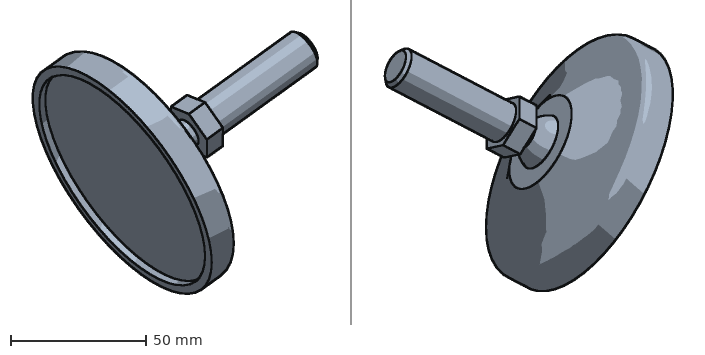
import cadquery as cq
import math


plate_radius = 50.0
rim_height = 9.5
rim_round = 3.2
plate_top = 23.6
plate_top_radius = 19.1
rim_angle = math.radians(81)

recess_radius = 92.5 / 2
recess_depth = 3.0

neck_radius = 11.0 / 2
neck_start = 30.0
ball_radius = 11.4
ball_center = neck_start - math.sqrt(ball_radius**2 - neck_radius**2)

hex_start = 33.0
hex_height = 8.0
hex_across_flats = 20.0
hex_across_corners = hex_across_flats / math.cos(math.pi / 6)
stud_radius = 16.0 / 2
stud_start = hex_start + hex_height
stud_end = 91.0
stud_chamfer = 1.5


def make_cylinder(radius, start, end):
    """Cylinder along +Y between two heights."""
    return cq.Workplane("XZ", origin=(0, start, 0)).circle(radius).extrude(start - end)


def make_plate():
    """Revolved plate with a rounded rim, a tangent concave flare and a recessed sole."""
    def rim_point(angle):
        return (
            plate_radius - rim_round * (1 - math.cos(angle)),
            rim_height + rim_round * math.sin(angle),
        )

    flare_start = rim_point(rim_angle)
    flare_end = (plate_top_radius, plate_top)
    return (
        cq.Workplane("XY")
        .moveTo(0, recess_depth)
        .lineTo(recess_radius, recess_depth)
        .lineTo(recess_radius, 0)
        .lineTo(plate_radius, 0)
        .lineTo(plate_radius, rim_height)
        .threePointArc(rim_point(rim_angle / 2), flare_start)
        .tangentArcPoint(flare_end, relative=False)
        .lineTo(0, plate_top)
        .close()
        .revolve(360, (0, 0, 0), (0, 1, 0))
    )


def make_ball():
    """Ball cap rising from inside the plate to the neck."""
    seat = ball_center
    middle_angle = math.acos(neck_radius / ball_radius) / 2
    return (
        cq.Workplane("XY")
        .moveTo(0, seat)
        .lineTo(ball_radius, seat)
        .threePointArc(
            (ball_radius * math.cos(middle_angle), seat + ball_radius * math.sin(middle_angle)),
            (neck_radius, neck_start),
        )
        .lineTo(0, neck_start)
        .close()
        .revolve(360, (0, 0, 0), (0, 1, 0))
    )


def make_hexagon():
    """Hexagon with flats facing X and corners pointing along Z."""
    return (
        cq.Workplane("XZ", origin=(0, hex_start, 0))
        .transformed(rotate=(0, 0, 30))
        .polygon(6, hex_across_corners)
        .extrude(-hex_height)
    )


neck = make_cylinder(neck_radius, ball_center, hex_start)
stud = make_cylinder(stud_radius, stud_start, stud_end).faces(">Y").chamfer(stud_chamfer)

result = make_plate().union(make_ball()).union(neck).union(make_hexagon()).union(stud)